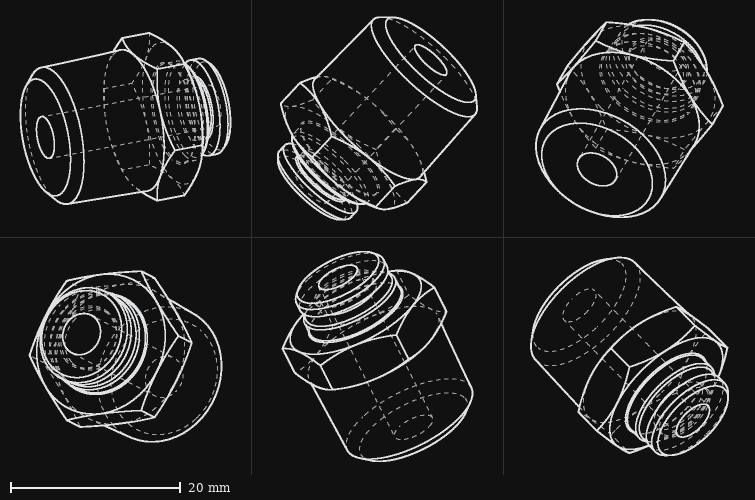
import cadquery as cq
import math

total_length = 21.6
bore_diameter = 5.0

thread_tip_diameter = 14.0
thread_small_diameter = 16.4
thread_large_diameter = 16.93
thread_chamfer_length = 1.19

hex_start = 11.47
hex_end = 16.52
hex_flats = 17.0
hex_chamfer_diameter = 16.95
hex_chamfer_angle = 30.0

shoulder_diameter = 11.9
shoulder_end = 18.55
shoulder_chamfer = 0.3
shoulder_flare = 0.15
shoulder_cone_diameter = 9.29
shoulder_cone_height = 0.22

neck_diameter = 7.3
collar_diameter = 11.5
collar_start = 20.0
collar_face_diameter = 10.55
collar_chamfer_length = 0.56
neck_chamfer = 0.17


def revolve_profile(outline):
    """Revolve an outline of (radius, Y) points around the Y axis."""
    return cq.Workplane("XY").polyline(outline).close().revolve(360, (0, 0, 0), (0, 1, 0))


def make_thread_body():
    return revolve_profile([
        (0, 0),
        (thread_tip_diameter / 2, 0),
        (thread_small_diameter / 2, thread_chamfer_length),
        (thread_large_diameter / 2, hex_start),
        (0, hex_start),
    ])


def make_hexagon():
    """Hexagon with corners on the X axis, its corners chamfered at both ends."""
    corner_diameter = hex_flats / math.cos(math.pi / 6)
    prism = (
        cq.Workplane("XZ", origin=(0, hex_end, 0))
        .polygon(6, corner_diameter)
        .extrude(hex_end - hex_start)
    )
    chamfer_radius = hex_chamfer_diameter / 2
    outer_radius = corner_diameter / 2 + 0.22
    drop = (outer_radius - chamfer_radius) * math.tan(math.radians(hex_chamfer_angle))
    envelope = revolve_profile([
        (0, hex_start),
        (chamfer_radius, hex_start),
        (outer_radius, hex_start + drop),
        (outer_radius, hex_end - drop),
        (chamfer_radius, hex_end),
        (0, hex_end),
    ])
    return prism.intersect(envelope)


def make_shoulder():
    """Round shoulder: flared foot, chamfered rim and a shallow cone up to the neck."""
    radius = shoulder_diameter / 2
    return revolve_profile([
        (0, hex_end),
        (radius + shoulder_flare, hex_end),
        (radius, hex_end + shoulder_flare),
        (radius, shoulder_end - shoulder_chamfer),
        (radius - shoulder_chamfer, shoulder_end),
        (shoulder_cone_diameter / 2, shoulder_end),
        (neck_diameter / 2, shoulder_end + shoulder_cone_height),
        (0, shoulder_end + shoulder_cone_height),
    ])


def make_collar():
    """Neck and release collar, with a small chamfer where they meet."""
    neck_radius = neck_diameter / 2
    collar_radius = collar_diameter / 2
    return revolve_profile([
        (0, shoulder_end),
        (neck_radius, shoulder_end),
        (neck_radius, collar_start - neck_chamfer),
        (neck_radius + neck_chamfer, collar_start),
        (collar_radius, collar_start),
        (collar_radius, total_length - collar_chamfer_length),
        (collar_face_diameter / 2, total_length),
        (0, total_length),
    ])


def make_bore():
    """Bore through the whole length."""
    return (
        cq.Workplane("XZ", origin=(0, total_length, 0))
        .circle(bore_diameter / 2)
        .extrude(total_length)
    )


result = (
    make_thread_body()
    .union(make_hexagon())
    .union(make_shoulder())
    .union(make_collar())
    .cut(make_bore())
)